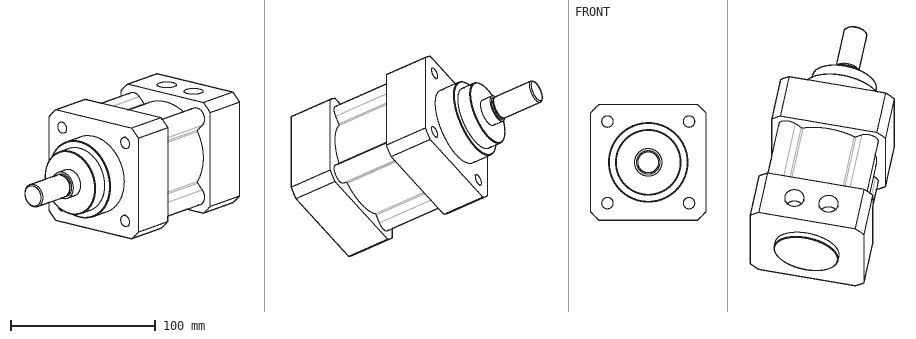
import cadquery as cq
import math

OVERALL_LENGTH = 179.5
BLOCK_LENGTH = 32.0
BARREL_LENGTH = 46.0
REAR_SPIGOT_LENGTH = 4.0
LARGE_SPIGOT_LENGTH = 15.5
SMALL_SPIGOT_LENGTH = 10.2
COLLAR_LENGTH = 7.9
NECK_LENGTH = 2.0

BLOCK_WIDTH = 80.0
BLOCK_FLAT_WIDTH = 67.9
BLOCK_CORNER_RADIUS = math.hypot(BLOCK_WIDTH, BLOCK_FLAT_WIDTH) / 2

LARGE_SPIGOT_RADIUS = 27.5
SMALL_SPIGOT_RADIUS = 22.6
COLLAR_RADIUS = 9.5
NECK_RADIUS = 7.4
SHAFT_RADIUS = 8.0
SPIGOT_CHAMFER = 0.5
SHAFT_CHAMFER = 0.9

BARREL_RADIUS = 34.0
LOBE_RADIUS = 6.8
WEB_FILLET = 1.0
CORNER_OFFSET = 28.2
CORNER_ANGLES = (45, 135, 225, 315)

MOUNTING_HOLE_RADIUS = 4.0
MOUNTING_HOLE_DEPTH = 16.0
PORT_RADIUS = 6.6
PORT_SPACING = 24.0
PORT_DEPTH = 16.0

BARREL_FRONT = BLOCK_LENGTH
BARREL_REAR = BARREL_FRONT + BARREL_LENGTH
REAR_BLOCK_END = BARREL_REAR + BLOCK_LENGTH
REAR_END = REAR_BLOCK_END + REAR_SPIGOT_LENGTH
SHAFT_TIP = REAR_END - OVERALL_LENGTH


def section_at(y):
    """Workplane across the axis at station y; extruding goes towards +Y."""
    return cq.Workplane(cq.Plane(origin=(0, y, 0), xDir=(1, 0, 0), normal=(0, 1, 0)))


def disc(y, radius, length):
    return section_at(y).circle(radius).extrude(length)


def end_block(front):
    square = section_at(front).rect(BLOCK_WIDTH, BLOCK_WIDTH).extrude(BLOCK_LENGTH)
    return square.intersect(disc(front, BLOCK_CORNER_RADIUS, BLOCK_LENGTH))


def make_front_head():
    """Front block with its stepped spigot and the output shaft."""
    large_face = -LARGE_SPIGOT_LENGTH
    small_face = large_face - SMALL_SPIGOT_LENGTH
    collar_face = small_face - COLLAR_LENGTH
    shaft_start = collar_face - NECK_LENGTH
    groove_depth = SHAFT_RADIUS - NECK_RADIUS
    profile = [
        (0, 0),
        (LARGE_SPIGOT_RADIUS, 0),
        (LARGE_SPIGOT_RADIUS, large_face + SPIGOT_CHAMFER),
        (LARGE_SPIGOT_RADIUS - SPIGOT_CHAMFER, large_face),
        (SMALL_SPIGOT_RADIUS, large_face),
        (SMALL_SPIGOT_RADIUS, small_face + SPIGOT_CHAMFER),
        (SMALL_SPIGOT_RADIUS - SPIGOT_CHAMFER, small_face),
        (COLLAR_RADIUS, small_face),
        (COLLAR_RADIUS, collar_face),
        (SHAFT_RADIUS, collar_face),
        (NECK_RADIUS, collar_face - groove_depth),
        (NECK_RADIUS, shaft_start + groove_depth),
        (SHAFT_RADIUS, shaft_start),
        (SHAFT_RADIUS, SHAFT_TIP + SHAFT_CHAMFER),
        (SHAFT_RADIUS - SHAFT_CHAMFER, SHAFT_TIP),
        (0, SHAFT_TIP),
    ]
    spigot_and_shaft = cq.Workplane("XY").polyline(profile).close().revolve(360, (0, 0, 0), (0, 1, 0))
    mounting_holes = (
        section_at(0)
        .rect(2 * CORNER_OFFSET, 2 * CORNER_OFFSET, forConstruction=True)
        .vertices()
        .circle(MOUNTING_HOLE_RADIUS)
        .extrude(MOUNTING_HOLE_DEPTH)
    )
    return end_block(0).union(spigot_and_shaft).cut(mounting_holes)


def make_corner_lobe(angle):
    """One lobe, its web and the two fillets that run the web into the tube."""
    lobe_distance = CORNER_OFFSET * math.sqrt(2)
    fillet_side = LOBE_RADIUS + WEB_FILLET
    fillet_distance = math.sqrt((BARREL_RADIUS + WEB_FILLET) ** 2 - fillet_side**2)
    tube_share = BARREL_RADIUS / (BARREL_RADIUS + WEB_FILLET)
    foot_distance = fillet_distance * tube_share
    foot_side = fillet_side * tube_share
    arc_angle = (math.atan2(fillet_side, fillet_distance) + math.pi / 2) / 2
    arc_distance = fillet_distance - WEB_FILLET * math.cos(arc_angle)
    arc_side = fillet_side - WEB_FILLET * math.sin(arc_angle)
    return (
        section_at(BARREL_FRONT)
        .transformed(rotate=(0, 0, angle))
        .moveTo(0, foot_side)
        .lineTo(foot_distance, foot_side)
        .threePointArc((arc_distance, arc_side), (fillet_distance, LOBE_RADIUS))
        .lineTo(lobe_distance, LOBE_RADIUS)
        .threePointArc((lobe_distance + LOBE_RADIUS, 0), (lobe_distance, -LOBE_RADIUS))
        .lineTo(fillet_distance, -LOBE_RADIUS)
        .threePointArc((arc_distance, -arc_side), (foot_distance, -foot_side))
        .lineTo(0, -foot_side)
        .close()
        .extrude(BARREL_LENGTH)
    )


def make_barrel():
    barrel = disc(BARREL_FRONT, BARREL_RADIUS, BARREL_LENGTH)
    for angle in CORNER_ANGLES:
        barrel = barrel.union(make_corner_lobe(angle))
    return barrel


def make_rear_head():
    """Rear block with its spigot and two ports in the top face."""
    spigot = disc(REAR_BLOCK_END, SMALL_SPIGOT_RADIUS, REAR_SPIGOT_LENGTH)
    spigot = spigot.faces(">Y").chamfer(SPIGOT_CHAMFER)
    port_station = BARREL_REAR + BLOCK_LENGTH / 2
    ports = (
        cq.Workplane("XY", origin=(0, port_station, BLOCK_WIDTH / 2))
        .pushPoints([(-PORT_SPACING / 2, 0), (PORT_SPACING / 2, 0)])
        .circle(PORT_RADIUS)
        .extrude(-PORT_DEPTH)
    )
    return end_block(BARREL_REAR).union(spigot).cut(ports)


front_head = make_front_head()
barrel = make_barrel()
rear_head = make_rear_head()

result = cq.Compound.makeCompound([front_head.val(), barrel.val(), rear_head.val()])